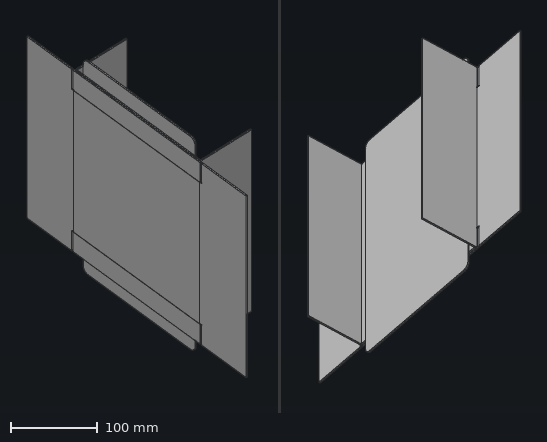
import cadquery as cq

total_width = 373.0
total_depth = 82.0
total_height = 332.0
sheet = 2.0
panel_height = 283.0
window_height = 221.0
tray_width = 214.0
strip_width = 216.5
slot_width = 2.2
tab_width = 190.2
tab_radius = 8.2
backing_setback = 0.5

backing_width = tray_width - 2 * sheet
backing_height = panel_height - 2 * backing_setback
strip_height = (panel_height - window_height) / 2
strip_center = (panel_height + window_height) / 4
wing_inner = strip_width / 2 + slot_width
wing_width = total_width / 2 - wing_inner
tongue_width = wing_inner - tray_width / 2


def plate(width, height, front, depth, x=0, z=0):
    """Upright plate centred on x and z, running from front toward +Y."""
    return cq.Workplane("XY").box(width, depth, height).translate((x, front + depth / 2, z))


def make_wing(side):
    """Flat side wing with a tongue reaching the tray between the end strips."""
    wing = plate(wing_width, panel_height, 0, sheet, side * (wing_inner + wing_width / 2))
    tongue_center = side * (wing_inner - tongue_width / 2)
    return wing.union(plate(tongue_width, window_height, 0, sheet, tongue_center))


def make_tray():
    """Floor with two side walls whose ends overhang the end strips."""
    tray = plate(tray_width, window_height, 0, sheet)
    for side in (-1, 1):
        wall_center = side * (tray_width - sheet) / 2
        wall_root = plate(sheet, window_height, 0, 2 * sheet, wall_center)
        wall = plate(sheet, panel_height, sheet, total_depth - sheet, wall_center)
        tray = tray.union(wall_root).union(wall)
    return tray


def make_backing():
    """Backing sheet with end strips in front and a rounded tab sheet behind."""
    backing = plate(backing_width, backing_height, sheet, sheet)
    for end in (-1, 1):
        backing = backing.union(plate(strip_width, strip_height, 0, sheet, z=end * strip_center))
    tabs = plate(tab_width, total_height, 2 * sheet, sheet).edges("|Y").fillet(tab_radius)
    return backing.union(tabs)


wings = [make_wing(side) for side in (-1, 1)]
tray = make_tray()
backing = make_backing()

result = cq.Compound.makeCompound([*(wing.val() for wing in wings), tray.val(), backing.val()])